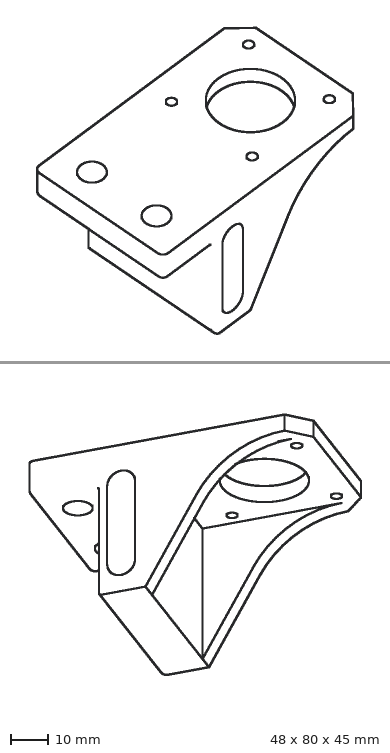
import cadquery as cq
import math

width = 48.0
shelf_length = 20.0
plate_length = 60.0
plate_thickness = 5.0
shelf_thickness = 10.0
wall_thickness = 14.0
wall_drop = 40.0
round_radius = 2.0
corner_chamfer = 6.0

rib_thickness = 5.0
rib_slope = math.radians(60)

bore_diameter = 24.0
bore_to_back = 21.0
motor_hole_diameter = 3.0
motor_hole_pitch = 30.0
shelf_hole_diameter = 8.0
shelf_hole_pitch = 24.0
slot_width = 8.0
slot_length = 32.0
slot_top_depth = 8.0

bottom = -plate_thickness - wall_drop
half_width = width / 2
bore_y = plate_length - bore_to_back


def make_body():
    """Plate, thick front shelf and wall, with rounded front edges."""
    outline = [
        (-shelf_length, 0),
        (plate_length, 0),
        (plate_length, -plate_thickness),
        (wall_thickness, -plate_thickness),
        (wall_thickness, bottom),
        (0, bottom),
        (0, -shelf_thickness),
        (-shelf_length, -shelf_thickness),
    ]
    body = cq.Workplane("YZ").polyline(outline).close().extrude(half_width, both=True)
    body = body.edges("|Z and >Y").chamfer(corner_chamfer)
    body = body.edges("|Z and <Y").fillet(round_radius)

    inner_corner = cq.selectors.NearestToPointSelector((0, 0, -shelf_thickness))
    body = body.edges("|X").edges(inner_corner).fillet(round_radius)

    margin = 0.1
    front_edges = cq.selectors.BoxSelector(
        (-width, -shelf_length - margin, bottom - margin),
        (width, margin, -shelf_thickness + margin),
    )
    inner_edges = cq.selectors.BoxSelector(
        (-margin, -shelf_length + margin, bottom + margin),
        (margin, margin, -shelf_thickness + margin),
    )
    return body.edges(front_edges - inner_edges).fillet(round_radius)


def make_rib(outer_x):
    """Side rib extending inward from x = outer_x, with a curved edge that ends in a straight slope."""
    start_y = plate_length - corner_chamfer
    run = start_y - wall_thickness
    radius = (run * math.tan(rib_slope) - wall_drop) / (1 / math.cos(rib_slope) - 1)

    def arc_point(angle):
        y = start_y - radius * math.sin(angle)
        z = -plate_thickness - radius * (1 - math.cos(angle))
        return y, z

    inward = -math.copysign(rib_thickness, outer_x)
    return (
        cq.Workplane("YZ", origin=(outer_x, 0, 0))
        .moveTo(start_y, -plate_thickness)
        .threePointArc(arc_point(rib_slope / 2), arc_point(rib_slope))
        .lineTo(wall_thickness, bottom)
        .lineTo(wall_thickness, -plate_thickness)
        .close()
        .extrude(inward)
    )


def make_holes():
    """Cutters for the bore, its four screw holes and the two shelf holes."""
    plane = cq.Workplane("XY")
    bore = plane.center(0, bore_y).circle(bore_diameter / 2).extrude(-plate_thickness)
    screws = (
        plane.center(0, bore_y)
        .rect(motor_hole_pitch, motor_hole_pitch, forConstruction=True)
        .vertices()
        .circle(motor_hole_diameter / 2)
        .extrude(-plate_thickness)
    )
    shelf_holes = (
        plane.center(0, -shelf_length / 2)
        .rarray(shelf_hole_pitch, 0.8, 2, 1)
        .circle(shelf_hole_diameter / 2)
        .extrude(-shelf_thickness)
    )
    return bore.add(screws).add(shelf_holes).combine()


def make_slot():
    """Cutter for the upright slot running through the wall from side to side."""
    slot_z = -slot_top_depth - slot_length / 2
    return (
        cq.Workplane("YZ")
        .center(wall_thickness / 2, slot_z)
        .slot2D(slot_length, slot_width, 90)
        .extrude(half_width, both=True)
    )


result = make_body()
for side in (-1, 1):
    result = result.union(make_rib(side * half_width))
result = result.cut(make_holes()).cut(make_slot())